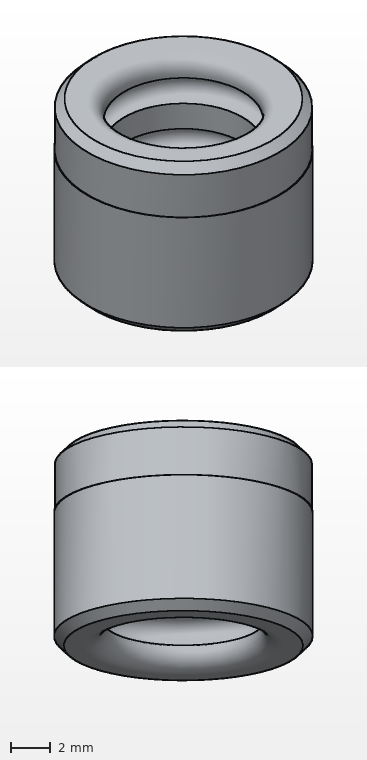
import cadquery as cq

body_diameter = 13.0
height = 10.0
collar_diameter = 12.94
collar_height = 3.0
edge_chamfer = 0.5

bore_diameter = 8.0
mouth_radius = 1.0
groove_radius = 0.75
groove_pitch = 3.0
groove_count = 3

body_radius = body_diameter / 2
collar_radius = collar_diameter / 2
bore_radius = bore_diameter / 2
shoulder_z = height - collar_height


def make_body():
    """Chamfered solid of revolution, drawn as a half profile in the XZ plane."""
    return (
        cq.Workplane("XZ")
        .lineTo(body_radius - edge_chamfer, 0)
        .lineTo(body_radius, edge_chamfer)
        .lineTo(body_radius, shoulder_z)
        .lineTo(collar_radius, shoulder_z)
        .lineTo(collar_radius, height - edge_chamfer)
        .lineTo(collar_radius - edge_chamfer, height)
        .lineTo(0, height)
        .close()
        .revolve(360, (0, 0), (0, 1))
    )


def cut_bore(body):
    """Straight through bore, rounded where it meets both end faces."""
    bored = body.cut(cq.Workplane("XY").circle(bore_radius).extrude(height))
    narrowest_circles = cq.selectors.RadiusNthSelector(0)
    return bored.edges("%CIRCLE").edges(narrowest_circles).fillet(mouth_radius)


def groove_ring(z):
    """Ring with a half-round rim that forms one groove in the bore wall."""
    return (
        cq.Workplane("XZ")
        .moveTo(bore_radius, z - groove_radius)
        .threePointArc((bore_radius + groove_radius, z), (bore_radius, z + groove_radius))
        .close()
        .revolve(360, (0, 0), (0, 1))
    )


result = cut_bore(make_body())
for index in range(groove_count):
    offset = (index - (groove_count - 1) / 2) * groove_pitch
    result = result.cut(groove_ring(height / 2 + offset))